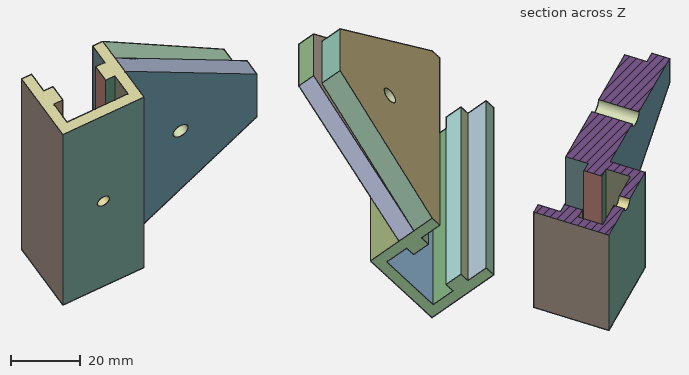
import cadquery as cq

height = 80.0
channel_width = 23.5
channel_depth = 27.0
wall = 3.4
rib_start = 7.0
rib_width = 5.7
rib_height = 3.0
channel_hole_diameter = 4.0
channel_hole_y = channel_depth / 2

cover_tip_y = 67.4
core_tip_y = 71.0
tip_height = 20.0
plate_hole_diameter = 5.0
plate_hole_y = 45.6


def box(x0, y0, x_size, y_size):
    """Full-height block centred on Z = 0 with its low X and Y corner given."""
    return cq.Workplane("XY").box(x_size, y_size, height, centered=(False, False, True)).translate((x0, y0, 0))


def tapered_plate(x0, thickness, tip_y):
    """Trapezoid plate narrowing from the channel to its tip."""
    outline = [
        (channel_depth - wall, -height / 2),
        (channel_depth, -height / 2),
        (tip_y, -tip_height / 2),
        (tip_y, tip_height / 2),
        (channel_depth, height / 2),
        (channel_depth - wall, height / 2),
    ]
    return cq.Workplane("YZ").polyline(outline).close().extrude(thickness).translate((x0, 0, 0))


def x_hole(y, diameter):
    """Cutter running along X through the whole part at mid height."""
    return cq.Workplane("YZ").center(y, 0).circle(diameter / 2).extrude(channel_width)


channel = box(0, 0, channel_width, channel_depth)
channel = channel.cut(box(0, wall, channel_width - wall, channel_depth - 2 * wall))
for rib_y in (wall, channel_depth - wall - rib_height):
    channel = channel.union(box(rib_start, rib_y, rib_width, rib_height))

cover_plate = tapered_plate(0, rib_start, cover_tip_y)
core_plate = tapered_plate(rib_start, rib_width, core_tip_y)

result = channel.union(cover_plate).union(core_plate)
result = result.cut(x_hole(channel_hole_y, channel_hole_diameter))
result = result.cut(x_hole(plate_hole_y, plate_hole_diameter))